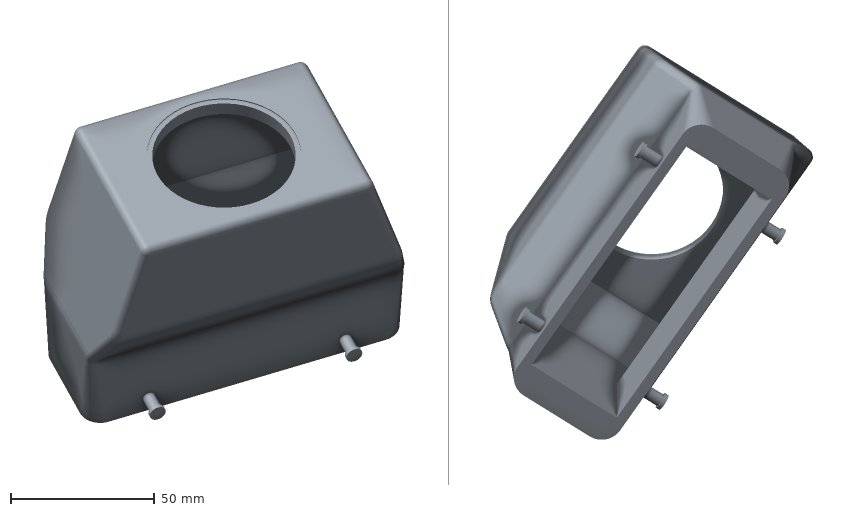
import cadquery as cq
import math


HEIGHT = 94.0
HALF_LENGTH = 60.0
HALF_WIDTH = 33.0
NECK_HALF_WIDTH = 21.5
TOP_HALF_LENGTH = 43.3

SIDE_SLOPE_ANGLE = math.radians(30)
SHOULDER_Z = 52.1
SHOULDER_RADIUS = 10.0
NECK_BEND_RADIUS = 6.5
END_BEND_Z = 34.9
END_BEND_RADIUS = 15.0

EDGE_RADIUS = 3.0
RIM_CORNER_RADIUS = 7.7

SIDE_WALL = 3.6
TOP_WALL = 5.9
CAVITY_HALF_LENGTH = 49.0
CAVITY_END_BEND_Z = 56.6
CAVITY_TOP_HALF_LENGTH = 39.4

ENTRY_RADIUS = 25.1
ENTRY_SEAT_RADIUS = 27.0
ENTRY_SEAT_DEPTH = 0.5

PIN_Z = 6.2
PIN_Y = 37.1
PIN_RADIUS = 2.3
PIN_HEAD_RADIUS = 3.0
PIN_HEAD_THICKNESS = 1.5
PIN_TIP_X = 29.8

slope_height = (HALF_WIDTH - NECK_HALF_WIDTH) / math.tan(SIDE_SLOPE_ANGLE)
neck_bend_z = SHOULDER_Z - slope_height
neck_top_z = neck_bend_z - NECK_BEND_RADIUS * math.tan(SIDE_SLOPE_ANGLE / 2)
cavity_top_z = HEIGHT - TOP_WALL
cavity_bend_rise = SIDE_WALL * math.tan(SIDE_SLOPE_ANGLE / 2)


def symmetric_prism(plane, half_outline, half_depth):
    """Mirror an outline of (half width, z) points about Z and extrude it both ways."""
    mirrored = [(-across, z) for across, z in reversed(half_outline)]
    outline = cq.Workplane(plane).polyline(half_outline + mirrored).close()
    return outline.extrude(half_depth, both=True)


def round_bend(prism, direction, z, radius):
    """Round the long edges of a prism that run in one direction at height z."""
    reach = 2 * HALF_LENGTH
    margin = 0.1
    at_height = cq.selectors.BoxSelector((-reach, -reach, z - margin), (reach, reach, z + margin))
    return prism.edges(direction).edges(at_height).fillet(radius)


def make_body():
    """Flared and tapered body above the neck, with rounded bends and edges."""
    across = symmetric_prism(
        "XZ",
        [
            (NECK_HALF_WIDTH, 0),
            (NECK_HALF_WIDTH, neck_bend_z),
            (HALF_WIDTH, SHOULDER_Z),
            (HALF_WIDTH, HEIGHT),
        ],
        HALF_LENGTH,
    )
    across = round_bend(across, "|Y", SHOULDER_Z, SHOULDER_RADIUS)
    across = round_bend(across, "|Y", neck_bend_z, NECK_BEND_RADIUS)

    along = symmetric_prism(
        "YZ",
        [(HALF_LENGTH, 0), (HALF_LENGTH, END_BEND_Z), (TOP_HALF_LENGTH, HEIGHT)],
        HALF_WIDTH,
    )
    along = round_bend(along, "|X", END_BEND_Z, END_BEND_RADIUS)

    body = across.intersect(along).edges("|Z or >Z").fillet(EDGE_RADIUS)
    above_neck = cq.Workplane("XY", origin=(0, 0, neck_top_z)).rect(2 * HALF_WIDTH, 2 * HALF_LENGTH)
    return body.intersect(above_neck.extrude(HEIGHT - neck_top_z))


def neck_section(z, corner_radius):
    """Rounded rectangular cross-section of the neck at height z."""
    section = cq.Sketch().rect(2 * NECK_HALF_WIDTH, 2 * HALF_LENGTH).vertices().fillet(corner_radius)
    return section.moved(cq.Location(cq.Vector(0, 0, z)))


def make_neck():
    """Straight-walled neck whose corner radius grows down to the rim."""
    rim = neck_section(0, RIM_CORNER_RADIUS)
    top = neck_section(neck_top_z, EDGE_RADIUS)
    return cq.Workplane("XY").placeSketch(rim, top).loft()


def make_cavity():
    """Sharp-cornered cavity, open at the rim, with sides parallel to the outer sides."""
    cavity_half_width = HALF_WIDTH - SIDE_WALL
    cavity_neck_half_width = NECK_HALF_WIDTH - SIDE_WALL
    across = symmetric_prism(
        "XZ",
        [
            (cavity_neck_half_width, 0),
            (cavity_neck_half_width, neck_bend_z + cavity_bend_rise),
            (cavity_half_width, SHOULDER_Z + cavity_bend_rise),
            (cavity_half_width, cavity_top_z),
        ],
        CAVITY_HALF_LENGTH,
    )
    along = symmetric_prism(
        "YZ",
        [
            (CAVITY_HALF_LENGTH, 0),
            (CAVITY_HALF_LENGTH, CAVITY_END_BEND_Z),
            (CAVITY_TOP_HALF_LENGTH, cavity_top_z),
        ],
        cavity_half_width,
    )
    return across.intersect(along)


def make_entry():
    """Cable entry bore through the top wall, with a shallow seat around its mouth."""
    bore = cq.Workplane("XY", origin=(0, 0, HEIGHT)).circle(ENTRY_RADIUS).extrude(-TOP_WALL)
    seat = cq.Workplane("XY", origin=(0, 0, HEIGHT)).circle(ENTRY_SEAT_RADIUS).extrude(-ENTRY_SEAT_DEPTH)
    return bore.union(seat)


def make_pin(side, y):
    """Headed pin rooted in the middle of the neck wall; side is +1 or -1 along X."""
    root_x = NECK_HALF_WIDTH - SIDE_WALL / 2
    outward = cq.Vector(side, 0, 0)
    shank = cq.Solid.makeCylinder(
        PIN_RADIUS, PIN_TIP_X - root_x, cq.Vector(side * root_x, y, PIN_Z), outward
    )
    head_x = PIN_TIP_X - PIN_HEAD_THICKNESS
    head = cq.Solid.makeCylinder(
        PIN_HEAD_RADIUS, PIN_HEAD_THICKNESS, cq.Vector(side * head_x, y, PIN_Z), outward
    )
    return cq.Workplane(shank).union(cq.Workplane(head))


result = make_body().union(make_neck()).cut(make_cavity()).cut(make_entry())
for pin_side in (-1, 1):
    for pin_y in (-PIN_Y, PIN_Y):
        result = result.union(make_pin(pin_side, pin_y))